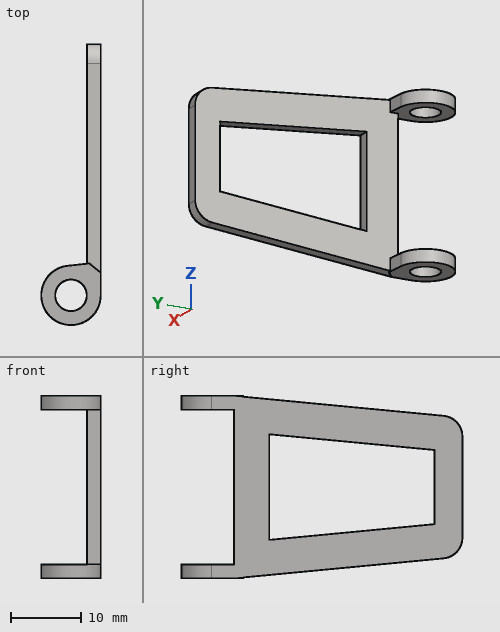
import cadquery as cq
import math

thickness = 2.0
overall_height = 26.0
eye_radius = 4.25
eye_hole_diameter = 4.46

frame_length = 32.55
frame_near_y = 3.2
far_edge_half_height = 9.9
far_corner_radius = 3.0
near_border = 5.05
far_border = 4.0
side_border = 5.0

eye_tip_x = 2.6
eye_tip_y = 4.55

half_height = overall_height / 2
frame_outer_x = eye_radius
frame_far_y = frame_near_y + frame_length
side_slope = (half_height - far_edge_half_height) / frame_length
side_border_along_z = side_border * math.sqrt(1 + side_slope**2)


def side_z(y):
    """Half height of the tapered frame outline at a given Y."""
    return half_height - side_slope * (y - frame_near_y)


def tapered_prism(near_y, far_y, inset):
    """Symmetric trapezoid in the YZ plane, as thick as the frame."""
    near_z = side_z(near_y) - inset
    far_z = side_z(far_y) - inset
    return (
        cq.Workplane("YZ", origin=(frame_outer_x - thickness, 0, 0))
        .polyline([(near_y, -near_z), (far_y, -far_z), (far_y, far_z), (near_y, near_z)])
        .close()
        .extrude(thickness)
    )


def make_frame():
    """Tapered plate with rounded far corners and a tapered window."""
    plate = tapered_prism(frame_near_y, frame_far_y, 0)
    plate = plate.faces(">Y").edges("|X").fillet(far_corner_radius)
    window = tapered_prism(frame_near_y + near_border, frame_far_y - far_border, side_border_along_z)
    return plate.cut(window)


def make_eye(bottom_z):
    """Flat hinge eye whose outline runs tangentially from the round to the frame."""
    tip_distance = math.hypot(eye_tip_x, eye_tip_y)
    tangent_angle = math.atan2(eye_tip_y, eye_tip_x) + math.acos(eye_radius / tip_distance)
    tangent_point = (eye_radius * math.cos(tangent_angle), eye_radius * math.sin(tangent_angle))
    middle_angle = (tangent_angle - 2 * math.pi) / 2
    arc_middle = (eye_radius * math.cos(middle_angle), eye_radius * math.sin(middle_angle))
    blank = (
        cq.Workplane("XY", origin=(0, 0, bottom_z))
        .moveTo(eye_radius, 0)
        .threePointArc(arc_middle, tangent_point)
        .lineTo(eye_tip_x, eye_tip_y)
        .lineTo(frame_outer_x, frame_near_y)
        .close()
        .extrude(thickness)
    )
    hole = (
        cq.Workplane("XY", origin=(0, 0, bottom_z))
        .circle(eye_hole_diameter / 2)
        .extrude(thickness)
    )
    return blank.cut(hole)


result = make_frame()
for eye_bottom_z in (-half_height, half_height - thickness):
    result = result.union(make_eye(eye_bottom_z))